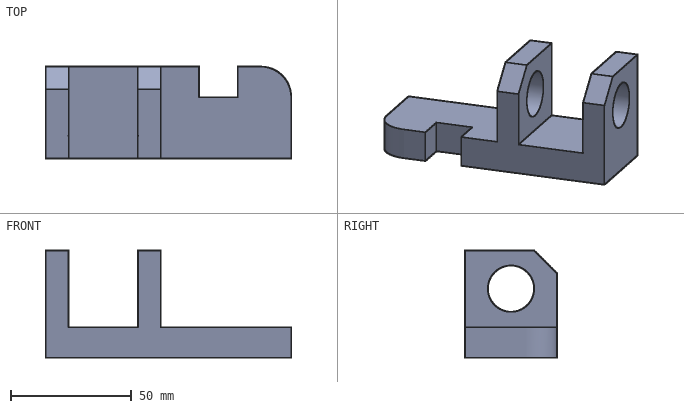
import cadquery as cq

INCH = 25.4
length = 4 * INCH
width = 1.5 * INCH
height = 1.75 * INCH
base_thickness = 0.5 * INCH
wall_thickness = 0.375 * INCH
wall_gap = 1.125 * INCH
wall_chamfer = 0.375 * INCH
hole_diameter = 0.75 * INCH
hole_height = 1.125 * INCH
slot_start = 2.5 * INCH
slot_width = 0.625 * INCH
slot_depth = 0.5 * INCH
corner_radius = 0.5 * INCH

wall_starts = (0, wall_thickness + wall_gap)


def make_base():
    """Flat base with one rounded corner at the free end."""
    base = cq.Workplane("XY").box(length, width, base_thickness, centered=False)
    return base.edges(">X and >Y").fillet(corner_radius)


def make_wall(start):
    """Upright lug with a chamfered back top corner and a cross hole."""
    wall = cq.Workplane("XY").box(wall_thickness, width, height, centered=False)
    wall = wall.edges(">Y and >Z").chamfer(wall_chamfer)
    hole = (
        cq.Workplane("YZ")
        .center(width / 2, hole_height)
        .circle(hole_diameter / 2)
        .extrude(wall_thickness)
    )
    return wall.cut(hole).translate((start, 0, 0))


def make_slot():
    """Rectangular notch through the base, open at the back edge."""
    slot = cq.Workplane("XY").box(slot_width, slot_depth, base_thickness, centered=False)
    return slot.translate((slot_start, width - slot_depth, 0))


result = make_base().cut(make_slot())
for wall_start in wall_starts:
    result = result.union(make_wall(wall_start))